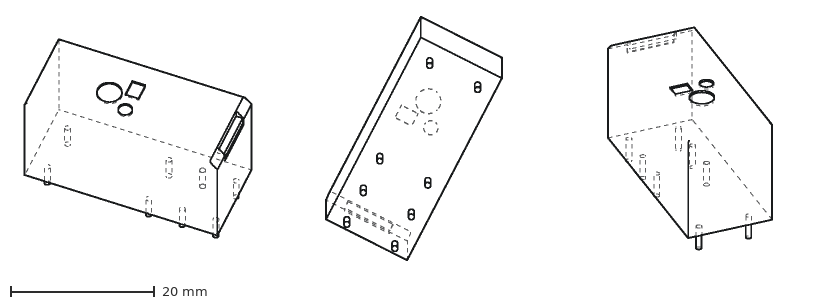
import cadquery as cq

length = 29.0
width = 12.7
total_height = 19.3
pin_length = 3.57
body_height = total_height - pin_length
edge_radius = 0.32
chamfer_size = 1.2

notch_width = 7.05
notch_depth = chamfer_size
step_inset = 0.2
step_height = chamfer_size

recess_depth = 0.3
large_recess_diameter = 3.5
large_recess_x = 10.2
small_recess_diameter = 2.0
small_recess_y = -2.03
window_length = 1.97
window_width = 2.6
window_y = 1.77
window_x = 13.4

pin_diameter = 0.8
pin_row_spacing = 7.5
first_pin_x = 2.38
last_pin_x = 27.7
pin_pitch = 5.05
pin_columns = [first_pin_x] + [last_pin_x - i * pin_pitch for i in range(3)]


def housing():
    """Box with rounded top edges and one chamfered end."""
    body = cq.Workplane("XY").box(length, width, body_height, centered=(False, True, False))
    body = body.edges(">Z and (not >X)").fillet(edge_radius)
    corner = (
        cq.Workplane("XZ")
        .moveTo(length - chamfer_size, body_height)
        .lineTo(length, body_height)
        .lineTo(length, body_height - chamfer_size)
        .close()
        .extrude(width / 2, both=True)
    )
    return body.cut(corner)


def chamfer_notch():
    """Stepped notch with a flat floor and a lower, narrow ledge at the end face."""
    floor_z = body_height - notch_depth
    ledge_z = floor_z - step_height
    return (
        cq.Workplane("XZ")
        .moveTo(length - chamfer_size, body_height)
        .lineTo(length - chamfer_size, floor_z)
        .lineTo(length - step_inset, floor_z)
        .lineTo(length - step_inset, ledge_z)
        .lineTo(length, ledge_z)
        .lineTo(length, body_height)
        .close()
        .extrude(notch_width / 2, both=True)
    )


def top_recesses():
    """Two round recesses and a rectangular window, all equally deep."""
    top = cq.Workplane("XY", origin=(0, 0, body_height))
    large = top.center(large_recess_x, 0).circle(large_recess_diameter / 2).extrude(-recess_depth)
    small = top.center(window_x, small_recess_y).circle(small_recess_diameter / 2).extrude(-recess_depth)
    window = top.center(window_x, window_y).rect(window_length, window_width).extrude(-recess_depth)
    return large.union(small).union(window)


def pins():
    """Round pins hanging below the housing."""
    row_y = pin_row_spacing / 2
    positions = [(x, y) for x in pin_columns for y in (-row_y, row_y)]
    return cq.Workplane("XY").pushPoints(positions).circle(pin_diameter / 2).extrude(-pin_length)


result = housing().cut(chamfer_notch()).cut(top_recesses()).union(pins())